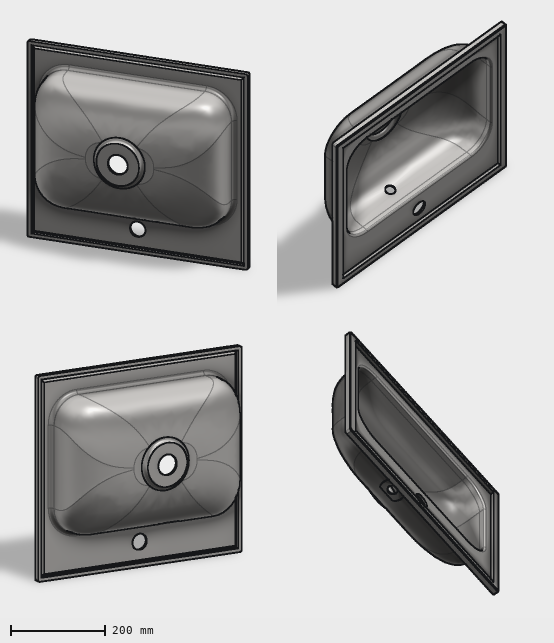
import cadquery as cq

sheet = 5.0
pick_margin = 0.5

length = 501.0
width = 451.0
rim_depth = 14.0
corner_radius = 5.0
top_edge_chamfer = 2.0
skirt = 8.5
step_width = 7.0
groove_roof = 1.5
step_wall = 3.0
deck_depth = 13.0
deck_inset = skirt + step_width

bowl_z = 24.5
half_x = 216.5
half_z = 151.5
cove = 9.0
neck_straight = 0.5
neck = cove + neck_straight
bowl_height = 98.0
power_x = 3.6
power_z = 3.0
mouth_roundness = 0.4
corner_blend = 2
mouth_fillet = 4.0
bowl_levels = (0.0, 0.25, 0.45, 0.62, 0.76, 0.87, 0.94, 0.975, 0.993)
bowl_start = deck_depth + neck

total_depth = 130.0
drain_radius = 48.5
drain_flare_radius = 58.0
drain_cove = drain_flare_radius - drain_radius
drain_overlap = 3.0
drain_hole_radius = 22.5
tap_radius = 17.5
tap_z = -170.5
overflow_x = 39.0
overflow_depth = 56.5
overflow_dish_radius = 27.5
overflow_hole_radius = 11.0
overflow_dish_depth = 2.0


def plane_at(depth, z=0.0):
    """Sketch plane facing -Y, at a depth below the rim top."""
    return cq.Workplane("XZ", origin=(0, -depth, z))


def rim_block(inset, start, end):
    """Rectangular slab following the rim outline."""
    return plane_at(start).rect(length - 2 * inset, width - 2 * inset).extrude(end - start)


def superellipse(level, power):
    """Fraction of the mouth width left at a fraction of the bowl height."""
    return (1 - level**power) ** (1 / power)


def bowl_section(level, inset):
    """Rounded rectangle whose corners become rounder toward the bottom."""
    scale_z = superellipse(level, power_z)
    x = (half_x - inset) * superellipse(level, power_x)
    z = (half_z - inset) * scale_z
    roundness = 1 - (1 - mouth_roundness) * scale_z**corner_blend
    return cq.Sketch().rect(2 * x, 2 * z).vertices().fillet(z * roundness)


def bowl_body(inset):
    """Loft with a superellipse profile, inset evenly from the outer skin."""
    height = bowl_height - inset
    sections = []
    for level in bowl_levels:
        place = cq.Location(cq.Vector(0, 0, level * height))
        sections.append(bowl_section(level, inset).moved(place))
    return plane_at(bowl_start, bowl_z).placeSketch(*sections).loft()


def drain_body(inset):
    """Flared drain seat: a concave quarter arc revolved about the Y axis."""
    bottom = inset - total_depth
    radius = drain_radius - inset
    flare = drain_cove
    diagonal = flare * (1 - 0.5**0.5)
    profile = (
        cq.Workplane("XY")
        .moveTo(0, bottom)
        .lineTo(radius, bottom)
        .threePointArc((radius + diagonal, bottom + flare - diagonal), (radius + flare, bottom + flare))
        .lineTo(radius + flare, bottom + flare + drain_overlap)
        .lineTo(0, bottom + flare + drain_overlap)
        .close()
    )
    return profile.revolve(360, (0, 0), (0, 1)).translate((0, 0, bowl_z))


def make_flange():
    """Rim with a skirt, a groove behind it and a deck carried by a sloped step."""
    flange = rim_block(0, 0, rim_depth).edges("|Y").fillet(corner_radius)
    flange = flange.faces(">Y").edges().chamfer(top_edge_chamfer)
    flange = flange.cut(rim_block(skirt, sheet, rim_depth))

    step = (
        plane_at(sheet)
        .rect(length - 2 * skirt - 2 * groove_roof, width - 2 * skirt - 2 * groove_roof)
        .workplane(offset=deck_depth - sheet)
        .rect(length - 2 * deck_inset, width - 2 * deck_inset)
        .loft(ruled=True)
    )
    flange = flange.union(step)
    return flange.cut(rim_block(deck_inset + step_wall, 0, deck_depth - sheet))


def make_outside():
    """Flange, coved neck, bowl and drain seat, all still solid inside."""
    neck_body = plane_at(deck_depth, bowl_z).placeSketch(bowl_section(0, 0)).extrude(neck)
    body = make_flange().union(neck_body)
    neck_edges = cq.selectors.BoxSelector(
        (-half_x - pick_margin, -deck_depth - pick_margin, bowl_z - half_z - pick_margin),
        (half_x + pick_margin, -deck_depth + pick_margin, bowl_z + half_z + pick_margin),
        boundingbox=True,
    )
    body = body.edges(neck_edges).fillet(cove)
    return body.union(bowl_body(0)).union(drain_body(0))


def cut_cavity(body):
    """Hollow the bowl and the drain to sheet thickness."""
    deck_top = deck_depth - sheet
    mouth = plane_at(deck_top, bowl_z).placeSketch(bowl_section(0, sheet)).extrude(bowl_start - deck_top)
    body = body.cut(mouth).cut(bowl_body(sheet)).cut(drain_body(sheet))
    mouth_edges = cq.selectors.BoxSelector(
        (-half_x, -deck_top - pick_margin, bowl_z - half_z),
        (half_x, -deck_top + pick_margin, bowl_z + half_z),
        boundingbox=True,
    )
    return body.edges(mouth_edges).fillet(mouth_fillet)


def cut_holes(body):
    """Drain hole and tap hole, both along Y."""
    body = body.cut(plane_at(0, bowl_z).circle(drain_hole_radius).extrude(total_depth))
    return body.cut(plane_at(0, tap_z).circle(tap_radius).extrude(rim_depth))


def cut_overflow(body):
    """Overflow hole in a shallow dish on the lower bowl wall."""
    level = (overflow_depth - bowl_start) / bowl_height
    wall_z = bowl_z - half_z * superellipse(level, power_z)
    normal_y = level ** (power_z - 1) / bowl_height
    normal_z = ((bowl_z - wall_z) / half_z) ** (power_z - 1) / half_z
    wall = cq.Plane(
        origin=(overflow_x, -overflow_depth, wall_z),
        xDir=(1, 0, 0),
        normal=(0, -normal_y, -normal_z),
    )
    dish_floor = cq.Workplane(wall).workplane(offset=-overflow_dish_depth)
    dish = dish_floor.circle(overflow_dish_radius).extrude(2 * sheet)
    hole = cq.Workplane(wall).circle(overflow_hole_radius).extrude(2 * sheet, both=True)
    return body.cut(dish).cut(hole)


result = cut_overflow(cut_holes(cut_cavity(make_outside())))